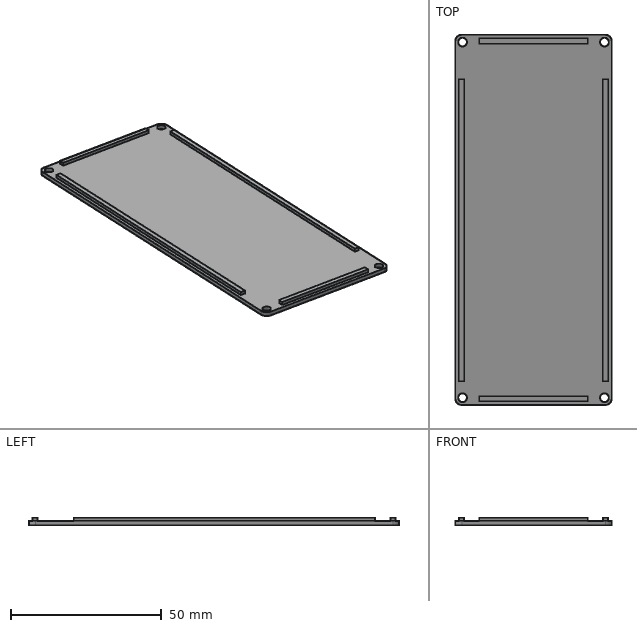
import cadquery as cq

width = 52.0
length = 123.0
plate_thickness = 1.5
corner_radius = 2.2

hole_diameter = 2.8
hole_inset = 2.5

total_height = 2.6
rib_height = total_height - plate_thickness
rib_width = 1.7
rib_inset = 1.2
long_rib_length = 100.1
short_rib_length = 36.0
long_rib_offset = -3.5


def make_plate():
    """Rounded rectangular plate resting on Z = 0, with a hole in each corner."""
    plate = (
        cq.Workplane("XY")
        .box(width, length, plate_thickness, centered=(True, True, False))
        .edges("|Z")
        .fillet(corner_radius)
    )
    return (
        plate.faces(">Z")
        .workplane()
        .rect(width - 2 * hole_inset, length - 2 * hole_inset, forConstruction=True)
        .vertices()
        .hole(hole_diameter)
    )


def make_rib(size_x, size_y, x, y):
    """Rectangular rib standing on the plate, centred at (x, y)."""
    return (
        cq.Workplane("XY")
        .box(size_x, size_y, rib_height, centered=(True, True, False))
        .translate((x, y, plate_thickness))
    )


rib_x = width / 2 - rib_inset - rib_width / 2
rib_y = length / 2 - rib_inset - rib_width / 2

result = make_plate()
for side in (-1, 1):
    result = result.union(make_rib(rib_width, long_rib_length, side * rib_x, long_rib_offset))
    result = result.union(make_rib(short_rib_length, rib_width, 0, side * rib_y))